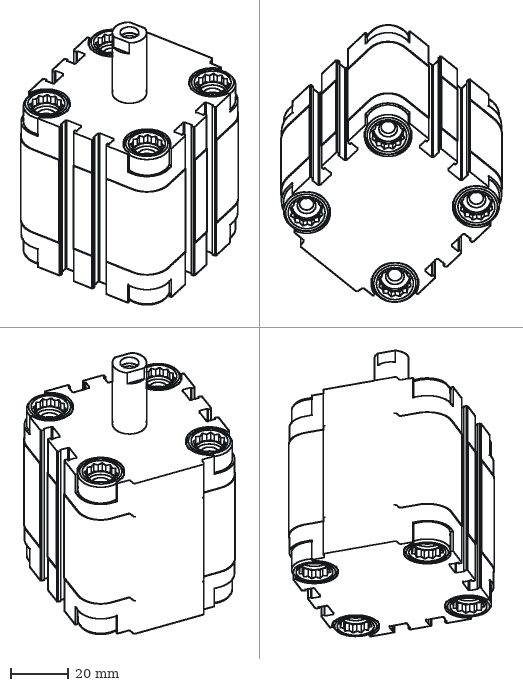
import cadquery as cq
import math

total_height = 92.0
housing_height = 65.4
barrel_width = 60.0
skin_step = 0.23
cap_height = 14.4
bolt_offset = 21.0

barrel_half = barrel_width / 2
cap_half = barrel_half - skin_step
barrel_height = housing_height - 2 * cap_height

rail_top = 32.5
rail_top_half = 13.5
rail_foot_half = 14.0
rail_fillet = 0.6

slot_offset = 6.8
slot_width = 6.6
slot_floor = 25.0
lip_inside = 28.4
mouth_width = 5.3
mouth_chamfer = 0.4
floor_chamfer = 0.4

head_diameter = 16.0
pocket_diameter = 16.6
head_height = 7.8
head_chamfer_width = 0.6
head_chamfer_height = 0.9
relief_reach = 2.2
countersink_diameter = 12.9
countersink_angle = math.radians(35)
socket_across_flats = 9.9
socket_depth = 3.8
socket_bore_diameter = 10.1
socket_bore_depth = 5.1
thread_hole_diameter = 4.9
thread_chamfer_diameter = 6.4
thread_chamfer_depth = 1.1

rod_diameter = 12.0
flat_distance = 10.0
flat_height = 4.7
rod_bore_diameter = 6.4
rod_bore_depth = 2.6
rod_thread_chamfer_diameter = 6.2
rod_thread_diameter = 4.9
rod_thread_depth = 11.0
drill_tip_angle = math.radians(118)


def housing_layer(half, bottom, height):
    """Rounded square with the raised rail, whose plain faces lie at `half` from the rod axis."""
    square = (
        cq.Workplane("XY").workplane(offset=bottom)
        .rect(2 * half, 2 * half)
        .extrude(height)
        .edges("|Z").fillet(half - bolt_offset)
    )
    rail = (
        cq.Workplane("XY").workplane(offset=bottom)
        .polyline([
            (-rail_foot_half, half),
            (-rail_foot_half, 0),
            (rail_foot_half, 0),
            (rail_foot_half, half),
            (rail_top_half, rail_top),
            (-rail_top_half, rail_top),
        ])
        .close()
        .extrude(height)
    )
    margin = 0.9
    rail_edges = cq.selectors.BoxSelector(
        (-rail_foot_half - margin, half - margin, bottom - margin),
        (rail_foot_half + margin, rail_top + margin, bottom + height + margin),
    )
    return square.union(rail).edges("|Z").edges(rail_edges).fillet(rail_fillet)


def t_slot_pair():
    """Cutter for the two T-slots of the -Y side, along the full height."""
    half_slot = slot_width / 2
    half_mouth = mouth_width / 2
    cutter = cq.Workplane("XY")
    for centre in (-slot_offset, slot_offset):
        undercut = (
            cq.Workplane("XY")
            .center(centre, -(lip_inside + slot_floor) / 2)
            .rect(slot_width, lip_inside - slot_floor)
            .extrude(housing_height)
            .edges("|Z and >Y").chamfer(floor_chamfer)
        )
        mouth = (
            cq.Workplane("XY")
            .polyline([
                (centre - half_mouth, -slot_floor),
                (centre - half_mouth, mouth_chamfer - cap_half),
                (centre - half_mouth - mouth_chamfer, -cap_half),
                (centre - half_mouth - mouth_chamfer, -barrel_half),
                (centre + half_mouth + mouth_chamfer, -barrel_half),
                (centre + half_mouth + mouth_chamfer, -cap_half),
                (centre + half_mouth, mouth_chamfer - cap_half),
                (centre + half_mouth, -slot_floor),
            ])
            .close()
            .extrude(housing_height)
        )
        cutter = cutter.add(undercut.union(mouth))
    return cutter.combine()


def bolt_head():
    """Bolt head on the Z axis with its top at z = 0."""
    radius = head_diameter / 2
    return (
        cq.Workplane("XZ")
        .polyline([
            (0, 0),
            (radius - head_chamfer_width, 0),
            (radius, -head_chamfer_height),
            (radius, -head_height),
            (0, -head_height),
        ])
        .close()
        .revolve(360, (0, 0), (0, 1))
    )


def corner_relief():
    """Space cleared around a head: a round pocket and the block out to the +X +Y corner."""
    reach = relief_reach + head_diameter
    block = (
        cq.Workplane("XY")
        .rect(reach, reach, centered=False)
        .extrude(-head_height)
        .translate((-relief_reach, -relief_reach, 0))
    )
    return block.union(cq.Workplane("XY").circle(pocket_diameter / 2).extrude(-head_height))


def bolt_socket():
    """Cutter for the twelve-point socket and the start of the thread, with its mouth at z = 0."""
    mouth_radius = countersink_diameter / 2
    bore_radius = socket_bore_diameter / 2
    corner_diameter = socket_across_flats / math.cos(math.radians(30))
    thread_radius = thread_hole_diameter / 2
    chamfer_radius = thread_chamfer_diameter / 2
    turned = (
        cq.Workplane("XZ")
        .polyline([
            (0, 0),
            (mouth_radius, 0),
            (bore_radius, -(mouth_radius - bore_radius) * math.tan(countersink_angle)),
            (bore_radius, -socket_bore_depth),
            (chamfer_radius, -socket_bore_depth),
            (thread_radius, -socket_bore_depth - thread_chamfer_depth),
            (0, -socket_bore_depth - thread_chamfer_depth),
        ])
        .close()
        .revolve(360, (0, 0), (0, 1))
    )
    hexagon = cq.Workplane("XY").polygon(6, corner_diameter).extrude(-socket_depth)
    return turned.union(hexagon).union(hexagon.rotate((0, 0, 0), (0, 0, 1), 30))


def at_corner(shape, quarter, upside_down):
    """Move a corner feature from the origin to one corner of the housing, at its top or bottom end."""
    placed = shape.translate((bolt_offset, bolt_offset, housing_height))
    if upside_down:
        placed = placed.mirror("XY", (0, 0, housing_height / 2))
    return placed.rotate((0, 0, 0), (0, 0, 1), 90 * quarter)


def make_housing():
    """Housing with its end caps, T-slots and four bolt heads at each end."""
    housing = (
        housing_layer(cap_half, 0, housing_height)
        .union(housing_layer(barrel_half, cap_height, barrel_height))
    )
    slots = t_slot_pair()
    for angle in (-90, 0, 90):
        housing = housing.cut(slots.rotate((0, 0, 0), (0, 0, 1), angle))

    relief = corner_relief()
    head = bolt_head()
    socket = bolt_socket()
    through_hole = cq.Workplane("XY").circle(thread_hole_diameter / 2).extrude(housing_height)
    for quarter in range(4):
        for upside_down in (False, True):
            placed_relief = at_corner(relief, quarter, upside_down)
            placed_head = at_corner(head, quarter, upside_down)
            placed_socket = at_corner(socket, quarter, upside_down)
            housing = housing.cut(placed_relief).union(placed_head).cut(placed_socket)
        hole = through_hole.translate((bolt_offset, bolt_offset, 0))
        housing = housing.cut(hole.rotate((0, 0, 0), (0, 0, 1), 90 * quarter))
    return housing


def make_rod():
    """Piston rod standing on the housing, with two wrench flats and a threaded hole in its end."""
    rod_radius = rod_diameter / 2
    rod = (
        cq.Workplane("XY").workplane(offset=housing_height)
        .circle(rod_radius)
        .extrude(total_height - housing_height)
    )
    for side in (-1, 1):
        flat_cut = cq.Workplane("XY").box(rod_diameter, rod_diameter, flat_height).translate(
            (0, side * (flat_distance + rod_diameter) / 2, total_height - flat_height / 2)
        )
        rod = rod.cut(flat_cut)

    bore_radius = rod_bore_diameter / 2
    thread_radius = rod_thread_diameter / 2
    chamfer_radius = rod_thread_chamfer_diameter / 2
    tip_depth = thread_radius / math.tan(drill_tip_angle / 2)
    end_hole = (
        cq.Workplane("XZ")
        .polyline([
            (0, total_height),
            (bore_radius, total_height),
            (bore_radius, total_height - rod_bore_depth),
            (chamfer_radius, total_height - rod_bore_depth),
            (thread_radius, total_height - rod_bore_depth - (chamfer_radius - thread_radius)),
            (thread_radius, total_height - rod_thread_depth),
            (0, total_height - rod_thread_depth - tip_depth),
        ])
        .close()
        .revolve(360, (0, 0), (0, 1))
    )
    return rod.cut(end_hole)


housing = make_housing()
rod = make_rod()
result = cq.Compound.makeCompound([housing.val(), rod.val()])